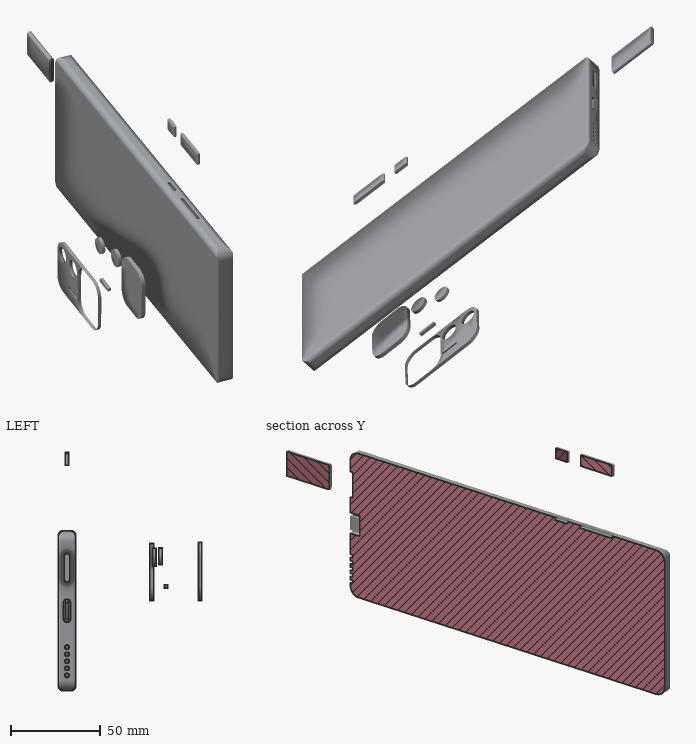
import cadquery as cq

PHONE_LENGTH = 220.0
PHONE_THICKNESS = 10.0
PHONE_WIDTH = 90.0
CORNER_RADIUS = 6.0
LONG_EDGE_RADIUS = 3.5
END_EDGE_RADIUS = 1.5

RECESS_DEPTH = 1.5

PHONE_LEFT = -PHONE_LENGTH / 2
PHONE_TOP = PHONE_WIDTH / 2

ASSEMBLY_LENGTH = 264.5
ASSEMBLY_DEPTH = 80.7
ASSEMBLY_HEIGHT = 133.8
ASSEMBLY_LEFT = PHONE_LENGTH / 2 - ASSEMBLY_LENGTH
ASSEMBLY_FRONT = PHONE_THICKNESS / 2 - ASSEMBLY_DEPTH
ASSEMBLY_TOP = ASSEMBLY_HEIGHT - PHONE_WIDTH / 2

TRAY_LENGTH = 30.0
TRAY_THICKNESS = 3.0
TRAY_WIDTH = 16.1
TRAY_Z = 24.0

PORT_WIDTH = 13.0
PORT_THICKNESS = 4.0
PORT_DEPTH = 6.5
TONGUE_WIDTH = 8.7
TONGUE_THICKNESS = 1.5
SPEAKER_HOLES = 5
SPEAKER_DIAMETER = 2.5
SPEAKER_PITCH = 4.0
SPEAKER_MIDDLE_Z = -28.3

BUTTON_THICKNESS = 2.0
POWER_LENGTH = 9.5
POWER_HEIGHT = 6.5
POWER_X = 37.8
POWER_BOTTOM = 81.5
VOLUME_LENGTH = 23.3
VOLUME_HEIGHT = 7.1
VOLUME_X = 62.2

CAMERA_X = 76.0
CAMERA_Z = 22.0
CAMERA_TILT = 1.0
FRAME_LENGTH = 54.7
FRAME_WIDTH = 32.3
FRAME_RADIUS = 8.0
SHEET_THICKNESS = 2.0
FRAME_WALL = 0.13
WINDOW_LENGTH = 27.0
WINDOW_WIDTH = FRAME_WIDTH - 2 * FRAME_WALL
WINDOW_RADIUS = FRAME_RADIUS - FRAME_WALL
WINDOW_X = FRAME_LENGTH / 2 - FRAME_WALL - WINDOW_LENGTH / 2
COVER_THICKNESS = 2.5
COVER_FRONT = -48.7

LENSES = [
    (9.5, -20.5, 8.2, -53.5),
    (10.3, -6.3, 8.0, -50.0),
]
FLASH_LENGTH = 10.8
FLASH_WIDTH = 1.9
FLASH_X = -6.3
FLASH_Z = -8.5
FLASH_FRONT = -56.5


def end_slot(length, thickness, width, left, z):
    """Bar along X with fully rounded long sides, starting at X = left."""
    return (
        cq.Workplane("YZ", origin=(left, 0, z))
        .slot2D(width, thickness, 90)
        .extrude(length)
    )


def button_bar(length, height, x, bottom):
    """Upright bar with rounded ends, standing on Z = bottom."""
    return (
        cq.Workplane("XY", origin=(x, 0, bottom))
        .slot2D(length, BUTTON_THICKNESS)
        .extrude(height)
    )


def camera_prism(sketch, thickness, front):
    """Extrude a sketch drawn about the module centre back from Y = front, with the module's tilt."""
    prism = sketch.extrude(-thickness)
    centre = (CAMERA_X, 0, CAMERA_Z)
    return (
        prism.translate((CAMERA_X, front, CAMERA_Z))
        .rotate(centre, (CAMERA_X, 1, CAMERA_Z), CAMERA_TILT)
    )


def camera_sketch(x=0, z=0):
    """Plane facing -Y, with its origin offset from the module centre."""
    return cq.Workplane("XZ").center(x, z)


def rounded_plate(length, width, radius, x, thickness, front):
    outline = cq.Sketch().rect(length, width).vertices().fillet(radius)
    return camera_prism(camera_sketch(x).placeSketch(outline), thickness, front)


def make_phone():
    """Phone shell with its tray slot, port, speaker holes and button recesses."""
    block = cq.Workplane("XY").box(PHONE_LENGTH, PHONE_THICKNESS, PHONE_WIDTH)
    left_end = (
        block.edges("|Y and <X")
        .fillet(CORNER_RADIUS)
        .faces("<Y or >Y")
        .edges("<X")
        .fillet(END_EDGE_RADIUS)
    )
    right_corners = block.edges("|Y and >X").fillet(CORNER_RADIUS)
    right_rim = block.edges("|Z and >X").fillet(END_EDGE_RADIUS)
    long_edges = block.edges("|X").fillet(LONG_EDGE_RADIUS)
    phone = long_edges.intersect(left_end).intersect(right_corners).intersect(right_rim)

    tray_slot = end_slot(RECESS_DEPTH, TRAY_THICKNESS, TRAY_WIDTH, PHONE_LEFT, TRAY_Z)
    phone = phone.cut(tray_slot).cut(make_port())
    for i in range(SPEAKER_HOLES):
        z = SPEAKER_MIDDLE_Z + (i - (SPEAKER_HOLES - 1) / 2) * SPEAKER_PITCH
        hole = (
            cq.Workplane("YZ", origin=(PHONE_LEFT, 0, z))
            .circle(SPEAKER_DIAMETER / 2)
            .extrude(RECESS_DEPTH)
        )
        phone = phone.cut(hole)

    recess_bottom = PHONE_TOP - RECESS_DEPTH
    for length, x in ((POWER_LENGTH, POWER_X), (VOLUME_LENGTH, VOLUME_X)):
        phone = phone.cut(button_bar(length, RECESS_DEPTH, x, recess_bottom))
    return phone


def make_port():
    """Charging port cavity, with a contact tongue left standing in it."""
    cavity = end_slot(PORT_DEPTH, PORT_THICKNESS, PORT_WIDTH, PHONE_LEFT, 0)
    tongue = (
        cq.Workplane("YZ", origin=(PHONE_LEFT, 0, 0))
        .rect(TONGUE_THICKNESS, TONGUE_WIDTH)
        .extrude(PORT_DEPTH)
    )
    return cavity.cut(tongue)


def make_lens(diameter, x, z, front):
    return camera_prism(camera_sketch(x, z).circle(diameter / 2), SHEET_THICKNESS, front)


def make_flash(front):
    return camera_prism(
        camera_sketch(FLASH_X, FLASH_Z).rect(FLASH_LENGTH, FLASH_WIDTH), SHEET_THICKNESS, front
    )


def make_frame():
    """Camera plate with a thin-rimmed window, two lens holes and a flash slot."""
    frame = rounded_plate(FRAME_LENGTH, FRAME_WIDTH, FRAME_RADIUS, 0, SHEET_THICKNESS, ASSEMBLY_FRONT)
    window = rounded_plate(
        WINDOW_LENGTH, WINDOW_WIDTH, WINDOW_RADIUS, WINDOW_X, SHEET_THICKNESS, ASSEMBLY_FRONT
    )
    frame = frame.cut(window).cut(make_flash(ASSEMBLY_FRONT))
    for diameter, x, z, _ in LENSES:
        frame = frame.cut(make_lens(diameter, x, z, ASSEMBLY_FRONT))
    return frame


phone = make_phone()
tray = end_slot(TRAY_LENGTH, TRAY_THICKNESS, TRAY_WIDTH, ASSEMBLY_LEFT, TRAY_Z)
power_button = button_bar(POWER_LENGTH, POWER_HEIGHT, POWER_X, POWER_BOTTOM)
volume_button = button_bar(VOLUME_LENGTH, VOLUME_HEIGHT, VOLUME_X, ASSEMBLY_TOP - VOLUME_HEIGHT)
frame = make_frame()
cover = rounded_plate(
    WINDOW_LENGTH, WINDOW_WIDTH, WINDOW_RADIUS, WINDOW_X, COVER_THICKNESS, COVER_FRONT
)
lenses = [make_lens(*lens) for lens in LENSES]
flash = make_flash(FLASH_FRONT)

result = cq.Compound.makeCompound([
    phone.val(),
    tray.val(),
    power_button.val(),
    volume_button.val(),
    frame.val(),
    cover.val(),
    *[lens.val() for lens in lenses],
    flash.val(),
])